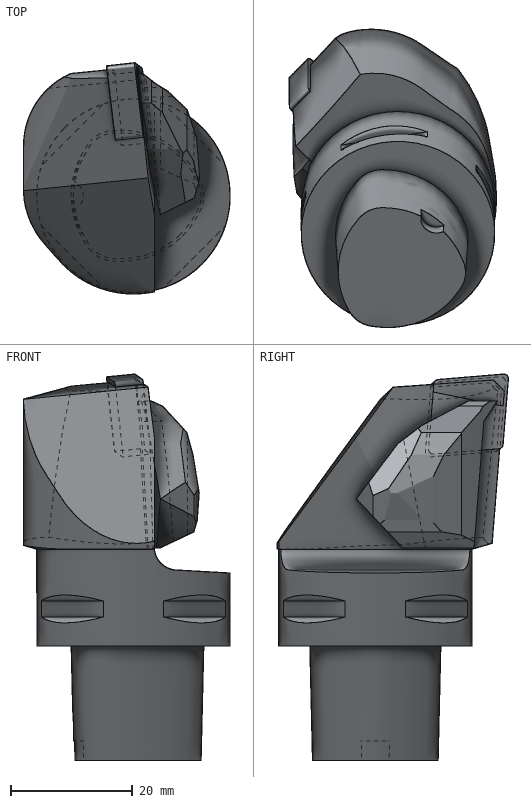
import cadquery as cq
import math


flange_radius = 16.0
flange_height = 16.0

groove_count = 4
groove_z = 6.15
groove_floor_height = 2.6
groove_mouth_height = 4.6
groove_floor_radius = 14.3

shank_length = 18.95
shank_taper = 0.45
lobe_count = 3
lobe_radius = 11.65
seam_radius = 11.25
flat_radius = 10.3
seam_angle = 13.5
notch_diameter = 5.2
notch_height = 3.25
notch_center_x = -10.9

head_radius = 16.25
head_left_x = -18.2
head_side_x = 3.45
left_flat_front_y = 2.4
left_flat_back_y = 8.25
back_corner_radius = 13.05
front_flat_start = (-14.65, -8.0)
front_flat_end = (-12.6, -10.3)
undercut_slope = 0.3

ridge_point = (2.4, 2.95, 42.8)
top_normal = (-0.09, -0.08, 1)
slant_normal = (0.04, -1.35, 1)
side_normal = (1, 0.1, 0.05)
back_point = (-10.2, 20.3, 42.75)
back_normal = (-0.1, 1, -0.085)
back_bevel_point = (-10.2, 19.25, 43.15)
back_bevel_normal = (-0.1, 1, 1)
corner_bevel_points = [(-10.2, 19.2, 43.0), (-18.2, 1.6, 40.8), (-18.2, 8.3, 40.8)]

step_fillet = 3.8
step_inner_z = 12.8
step_outer_z = 12.1

clamp_base_normal = (1, 0.15, 0.06)
clamp_bevel_point = (2.75, 2.95, 42.8)
clamp_bevel_normal = (0.8, -0.4, 0.4)

insert_size = 12.5
insert_thickness = 4.7
insert_corner_radius = 0.8
insert_corner_angle = 80.0
insert_tip = (0.1, 22.1, 45.05)
insert_normal = cq.Vector(1, 0.11, 0.1)
insert_edge = cq.Vector(0.1, -1, -0.085)

cut_size = 128.0


def block_beyond(point, normal):
    """Large block on the outer side of a plane."""
    plane = cq.Plane(origin=point, normal=normal)
    return cq.Workplane(plane).rect(cut_size, cut_size).extrude(cut_size)


def polar(radius, angle):
    return (radius * math.cos(math.radians(angle)), radius * math.sin(math.radians(angle)))


def lobed_outline(workplane, inset):
    """Closed outline of three lobes joined by three flatter arcs."""
    pitch = 360 / lobe_count
    outline = workplane.moveTo(*polar(seam_radius - inset, -seam_angle))
    for i in range(lobe_count):
        lobe = i * pitch
        outline = outline.threePointArc(
            polar(lobe_radius - inset, lobe), polar(seam_radius - inset, lobe + seam_angle)
        )
        outline = outline.threePointArc(
            polar(flat_radius - inset, lobe + pitch / 2),
            polar(seam_radius - inset, lobe + pitch - seam_angle),
        )
    return outline.close()


def make_shank():
    outline = lobed_outline(cq.Workplane("XY"), 0).workplane(offset=-shank_length)
    shank = lobed_outline(outline, shank_taper).loft(ruled=True)
    notch = (
        cq.Workplane("XY", origin=(notch_center_x, 0, -shank_length))
        .circle(notch_diameter / 2)
        .extrude(notch_height)
    )
    return shank.cut(notch)


def make_flange():
    flange = cq.Workplane("XY").circle(flange_radius).extrude(flange_height)
    depth = flange_radius - groove_floor_radius
    groove = (
        cq.Workplane("XZ", origin=(groove_floor_radius, 0, groove_z))
        .polyline([
            (0, -groove_floor_height / 2),
            (depth, -groove_mouth_height / 2),
            (depth, groove_mouth_height / 2),
            (0, groove_floor_height / 2),
        ])
        .close()
        .extrude(flange_radius, both=True)
    )
    pitch = 360 / groove_count
    for i in range(groove_count):
        flange = flange.cut(groove.rotate((0, 0, 0), (0, 0, 1), (i + 0.5) * pitch))
    return flange


def make_head_blank():
    """Upright prism of the head outline, reaching past its top and back faces."""
    height = 32.0
    past_back_y = 25.6
    quarter_arc_middle = 135
    front_arc_middle = -110
    corner_center = (head_left_x + back_corner_radius, left_flat_back_y)
    corner_middle = polar(back_corner_radius, quarter_arc_middle)
    corner_end_y = left_flat_back_y + back_corner_radius
    side_front_y = -math.sqrt(head_radius**2 - head_side_x**2)
    return (
        cq.Workplane("XY", origin=(0, 0, flange_height))
        .moveTo(head_side_x, past_back_y)
        .lineTo(head_side_x, side_front_y)
        .threePointArc(polar(head_radius, front_arc_middle), front_flat_end)
        .lineTo(*front_flat_start)
        .tangentArcPoint((head_left_x, left_flat_front_y), relative=False)
        .lineTo(head_left_x, left_flat_back_y)
        .threePointArc(
            (corner_center[0] + corner_middle[0], corner_center[1] + corner_middle[1]),
            (corner_center[0], corner_end_y),
        )
        .close()
        .extrude(height)
    )


def make_undercut():
    """Ring below the cone that lifts the overhanging underside of the head."""
    reach = 38.4
    rise = undercut_slope * (reach - flange_radius)
    return (
        cq.Workplane("XZ")
        .polyline([
            (flange_radius, flange_height),
            (reach, flange_height),
            (reach, flange_height + rise),
        ])
        .close()
        .revolve(360, (0, 0, 0), (0, 1, 0))
    )


def make_corner_bevel():
    """Large block above the bevelled left-hand corner of the head's top."""
    first, second, third = [cq.Vector(*p) for p in corner_bevel_points]
    normal = (second - first).cross(third - first)
    if normal.z < 0:
        normal = normal * -1
    return block_beyond(first, normal)


def make_head():
    head = make_head_blank().cut(make_undercut())
    head = head.cut(block_beyond(ridge_point, top_normal))
    head = head.cut(block_beyond(ridge_point, slant_normal))
    head = head.cut(block_beyond(ridge_point, side_normal))
    head = head.cut(block_beyond(back_point, back_normal))
    head = head.cut(block_beyond(back_bevel_point, back_bevel_normal))
    return head.cut(make_corner_bevel())


def make_step():
    """Block removed from the flange beside the head, with a rounded inner corner."""
    step_top_z = flange_height + step_fillet
    step = (
        cq.Workplane("XZ")
        .polyline([
            (head_side_x, step_top_z),
            (head_side_x, step_inner_z),
            (flange_radius, step_outer_z),
            (flange_radius, step_top_z),
        ])
        .close()
        .extrude(flange_radius, both=True)
    )
    inner_edge = cq.selectors.NearestToPointSelector((head_side_x, 0, step_inner_z))
    return step.edges(inner_edge).fillet(step_fillet)


def make_clamp():
    """Faceted clamp: the common volume of its outlines along Z, Y and X."""
    from_above = [
        (0.65, 20.15), (1.6, 20.15), (3.45, 18.7), (5.7, 17.3), (8.9, 14.2), (10.4, 9.6),
        (10.95, 2.9), (10.05, -0.4), (4.5, -3.15), (0.65, -3.15),
    ]
    from_front = [
        (0.65, 40.5), (2.95, 40.5), (4.8, 39.7), (8.8, 35.3), (9.85, 31.6),
        (10.9, 25.3), (10.55, 20.8), (10.0, 18.9), (4.5, 16.25), (0.65, 16.25),
    ]
    from_side = [
        (4.5, 16.25), (-3.15, 24.3), (-2.0, 25.9), (3.7, 33.5), (7.7, 36.5), (15.35, 40.5),
        (20.15, 40.5), (17.9, 37.1), (16.3, 16.25),
    ]
    clamp = cq.Workplane("XY").polyline(from_above).close().extrude(cut_size)
    for plane, outline in [("XZ", from_front), ("YZ", from_side)]:
        prism = cq.Workplane(plane).polyline(outline).close().extrude(cut_size, both=True)
        clamp = clamp.intersect(prism)
    clamp = clamp.cut(block_beyond(clamp_bevel_point, clamp_bevel_normal))
    return clamp.intersect(block_beyond(ridge_point, clamp_base_normal))


def make_insert():
    """Rhombic plate standing on edge, its rake face toward +X."""
    lean_x, lean_y = polar(insert_size, insert_corner_angle)
    plane = cq.Plane(origin=insert_tip, xDir=insert_edge, normal=insert_normal)
    return (
        cq.Workplane(plane)
        .polyline([(0, 0), (insert_size, 0), (insert_size + lean_x, lean_y), (lean_x, lean_y)])
        .close()
        .extrude(-insert_thickness)
        .edges(cq.selectors.ParallelDirSelector(insert_normal))
        .fillet(insert_corner_radius)
    )


insert = make_insert()
holder = make_flange().cut(make_step()).union(make_shank()).union(make_head())
holder = holder.union(make_clamp()).cut(insert)

result = cq.Compound.makeCompound([*holder.vals(), insert.val()])